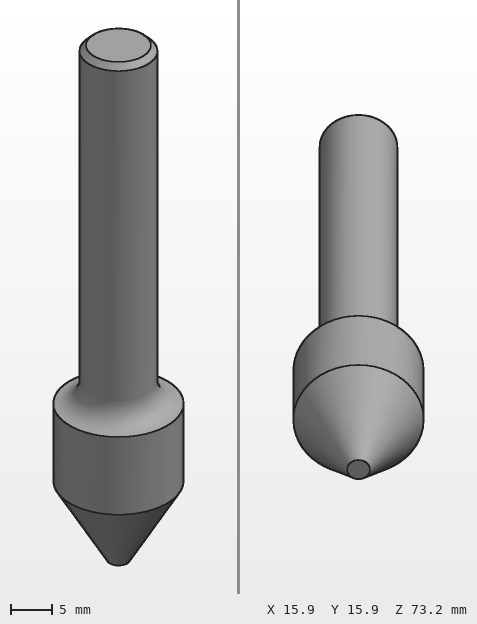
import cadquery as cq

total_length = 73.15
tip_height = 11.2
collar_height = 11.05

collar_diameter = 15.9
shank_radius = 4.75
collar_radius = collar_diameter / 2
tip_end_radius = 1.4

flare_radius = collar_radius - shank_radius
top_chamfer = 0.8

bottom_z = -total_length / 2
tip_top_z = bottom_z + tip_height
collar_top_z = tip_top_z + collar_height
flare_top_z = collar_top_z + flare_radius
top_z = bottom_z + total_length


def make_tip():
    """Truncated cone that tapers from the collar down to a small flat end."""
    return (
        cq.Workplane("XZ")
        .moveTo(0, bottom_z)
        .lineTo(tip_end_radius, bottom_z)
        .lineTo(collar_radius, tip_top_z)
        .lineTo(0, tip_top_z)
        .close()
        .revolve()
    )


def make_shank():
    """Round shank with a chamfered top and a concave flare into its collar."""
    return (
        cq.Workplane("XZ")
        .moveTo(0, tip_top_z)
        .lineTo(collar_radius, tip_top_z)
        .lineTo(collar_radius, collar_top_z)
        .radiusArc((shank_radius, flare_top_z), flare_radius)
        .lineTo(shank_radius, top_z - top_chamfer)
        .lineTo(shank_radius - top_chamfer, top_z)
        .lineTo(0, top_z)
        .close()
        .revolve()
    )


tip = make_tip()
shank = make_shank()

result = cq.Compound.makeCompound([shank.val(), tip.val()])